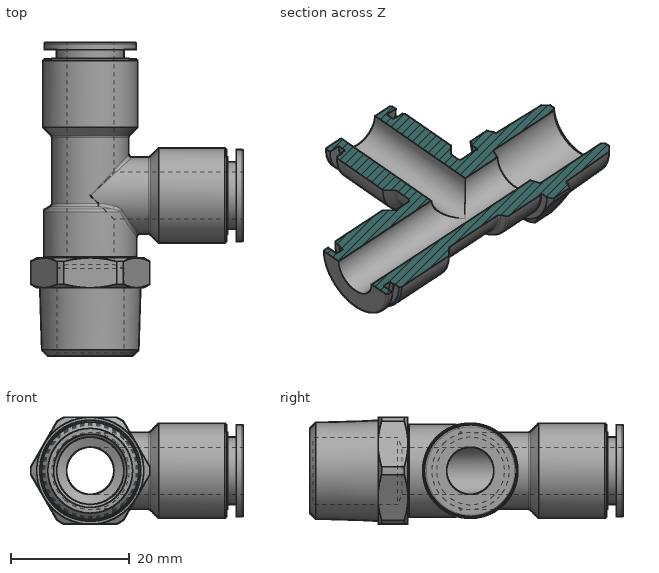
import cadquery as cq
import math


run_length = 52.8
hex_start = 11.5
hex_width = 5.0
collar_cone_start = 24.6

socket_length = 25.75
socket_start = 11.5
socket_end = 22.95
socket_radius = 8.0
socket_rim_chamfer = 0.3
seat_radius = 6.5
seat_height = 0.15
tube_radius = 6.5
neck_fillet = 0.55

collet_neck_radius = 5.7
collet_flange_radius = 7.75
collet_flange_thickness = 1.2
collet_edge_fillet = 0.3

collar_radius = 7.85
collar_cone_slope = 30.0
collar_fillet = 0.55
collar_groove_radius = 7.7
collar_groove_width = 0.2

seam_fillet = 0.55

hex_across_flats = 18.0
hex_corner_radius = 10.05
hex_chamfer_slope = 30.0

thread_tip_radius = 8.2
thread_taper = 1 / 32
thread_chamfer = 1.05

passage_radius = 3.95
mouth_radius = 5.65
mouth_chamfer = 0.55
mouth_depth = 14.8
mouth_cone_half_angle = 68.0

thread_end = socket_length - run_length
hex_bottom = thread_end + hex_start
hex_top = hex_bottom + hex_width

selection_margin = 0.05


def revolve_profile(points):
    """Revolve (radius, y) points about the run axis."""
    return cq.Workplane("XY").polyline(points).close().revolve(360, (0, 0, 0), (0, 1, 0))


def disc(radius, start, end):
    """Cylinder on the run axis between two places along Y."""
    return cq.Workplane("XZ", origin=(0, start, 0)).circle(radius).extrude(start - end)


def turn_to_branch(body):
    """Turn a body from the +Y end of the run onto the +X branch."""
    return body.rotate((0, 0, 0), (0, 0, 1), -90)


def edges_between(body, start, end):
    """Edges of a turned body that lie wholly between two places along Y."""
    low = start - selection_margin
    high = end + selection_margin
    box = cq.selectors.BoxSelector(
        (-socket_radius, low, -socket_radius),
        (socket_radius, high, socket_radius),
        boundingbox=True,
    )
    return body.edges(box)


def socket():
    """Solid socket with its seat ring, reaching outwards along +Y."""
    neck_end = socket_start - (socket_radius - tube_radius)
    body = revolve_profile([
        (0, 0),
        (tube_radius, 0),
        (tube_radius, neck_end),
        (socket_radius, socket_start),
        (socket_radius, socket_end - socket_rim_chamfer),
        (socket_radius - socket_rim_chamfer, socket_end),
        (seat_radius, socket_end),
        (seat_radius, socket_end + seat_height),
        (0, socket_end + seat_height),
    ])
    return edges_between(body, neck_end, neck_end).fillet(neck_fillet)


def collet():
    """Release collet: a neck and a flange with a rounded outer edge."""
    flange_start = socket_length - collet_flange_thickness
    neck = disc(collet_neck_radius, socket_end, socket_length)
    flange = disc(collet_flange_radius, flange_start, socket_length)
    flange = flange.faces(">Y").edges().fillet(collet_edge_fillet)
    return neck.union(flange)


def collar():
    """Collar that narrows to the tee body through a rounded cone."""
    cone_start = thread_end + collar_cone_start
    cone_height = (collar_radius - tube_radius) * math.tan(math.radians(collar_cone_slope))
    cone_end = cone_start + cone_height
    groove_end = hex_top + collar_groove_width
    body = revolve_profile([
        (0, hex_top),
        (collar_groove_radius, hex_top),
        (collar_groove_radius, groove_end),
        (collar_radius, groove_end),
        (collar_radius, cone_start),
        (tube_radius, cone_end),
        (tube_radius, 0),
        (0, 0),
    ])
    return edges_between(body, cone_start, cone_end).fillet(collar_fillet)


def tee_body():
    """Collar and both sockets, with the seam between run and branch filleted."""
    body = collar().union(socket()).union(turn_to_branch(socket()))
    seam_reach = tube_radius + seam_fillet
    seam_box = cq.selectors.BoxSelector(
        (0, -seam_reach, -seam_reach),
        (collar_radius, seam_reach, seam_reach),
    )
    seam = body.edges(seam_box).edges("(not %CIRCLE) and (not %LINE)")
    return seam.fillet(seam_fillet)


def hexagon():
    """Hexagon with flats facing +Z and -Z, cut back by a double-coned envelope."""
    face_radius = hex_across_flats / 2
    across_corners = hex_across_flats / math.cos(math.pi / 6)
    prism = cq.Workplane("XZ", origin=(0, hex_bottom, 0)).polygon(6, across_corners).extrude(-hex_width)
    chamfer_height = (hex_corner_radius - face_radius) * math.tan(math.radians(hex_chamfer_slope))
    envelope = revolve_profile([
        (0, hex_bottom),
        (face_radius, hex_bottom),
        (hex_corner_radius, hex_bottom + chamfer_height),
        (hex_corner_radius, hex_top - chamfer_height),
        (face_radius, hex_top),
        (0, hex_top),
    ])
    return prism.intersect(envelope)


def thread():
    """Tapered thread envelope with a chamfered tip."""
    root_radius = thread_tip_radius + thread_taper * (hex_start - thread_chamfer)
    return revolve_profile([
        (0, thread_end),
        (thread_tip_radius - thread_chamfer, thread_end),
        (thread_tip_radius, thread_end + thread_chamfer),
        (root_radius, hex_bottom),
        (0, hex_bottom),
    ])


def bores():
    """Run passage with its wide mouth at the threaded end, and the branch passage."""
    cone_start = thread_end + mouth_depth
    cone_height = (mouth_radius - passage_radius) / math.tan(math.radians(mouth_cone_half_angle))
    run_passage = revolve_profile([
        (0, thread_end),
        (mouth_radius + mouth_chamfer, thread_end),
        (mouth_radius, thread_end + mouth_chamfer),
        (mouth_radius, cone_start),
        (passage_radius, cone_start + cone_height),
        (passage_radius, socket_length),
        (0, socket_length),
    ])
    branch_passage = turn_to_branch(disc(passage_radius, 0, socket_length))
    return run_passage.union(branch_passage)


outside = tee_body().union(hexagon()).union(thread())
outside = outside.union(collet()).union(turn_to_branch(collet()))
result = outside.cut(bores())